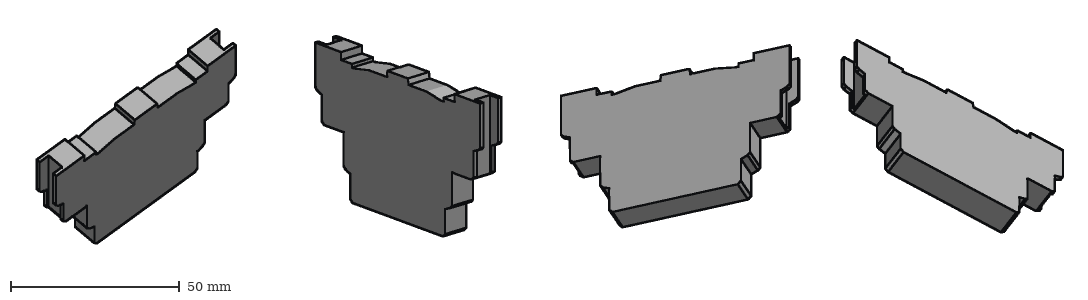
import cadquery as cq

thickness = 8.5
length = 72.6
height = 46.2

top_half = length / 2
shoulder_half = 33.4
waist_half = 23.8
foot_half = 20.9

lip_rise = 1.75
lip_nose_rise = 0.9
lip_nose_run = 0.8
upper_lip_z = 30.4
shoulder_z = 21.2
lower_lip_z = 8.85
shoulder_chamfer_run = 1.1
shoulder_chamfer_rise = 0.9
foot_chamfer = 1.0

end_block_inner = 24.9
ledge_inner = 20.1
valley_inner = 19.0
ramp_inner = 12.7
center_block_base_half = 4.8
center_block_top_half = 4.5
ledge_z = height - 2.5
valley_z = height - 3.6
center_block_z = height - 0.5

channel_wall = 1.3
channel_depth = 3.6


def lip_points(outer, inner, base_z):
    """Underside of an overhanging step: a blunted nose, then a gentle slope inward."""
    return [
        (outer, base_z + lip_rise),
        (outer - lip_nose_run, base_z + lip_nose_rise),
        (inner, base_z),
    ]


def make_body():
    """Extrude the symmetric stepped outline through the thickness."""
    half_outline = [
        (center_block_top_half, center_block_z),
        (center_block_base_half, ledge_z),
        (ramp_inner, ledge_z),
        (valley_inner, valley_z),
        (ledge_inner, valley_z),
        (ledge_inner, ledge_z),
        (end_block_inner, ledge_z),
        (end_block_inner, height),
        (top_half, height),
        *lip_points(top_half, shoulder_half, upper_lip_z),
        (shoulder_half, shoulder_z + shoulder_chamfer_rise),
        (shoulder_half - shoulder_chamfer_run, shoulder_z),
        (waist_half, shoulder_z),
        *lip_points(waist_half, foot_half, lower_lip_z),
        (foot_half, foot_chamfer),
        (foot_half - foot_chamfer, 0),
    ]
    mirrored = [(-y, z) for y, z in reversed(half_outline)]
    outline = cq.Workplane("YZ").polyline(half_outline + mirrored).close()
    return outline.extrude(thickness / 2, both=True)


def make_channel(end):
    """Cutter for the channel at one end (-1 or 1), from the shoulder underside to the top."""
    channel_width = thickness - 2 * channel_wall
    center_y = end * (top_half - channel_depth / 2)
    return (
        cq.Workplane("XY", origin=(0, center_y, shoulder_z))
        .rect(channel_width, channel_depth)
        .extrude(height - shoulder_z)
    )


result = make_body()
for end in (-1, 1):
    result = result.cut(make_channel(end))